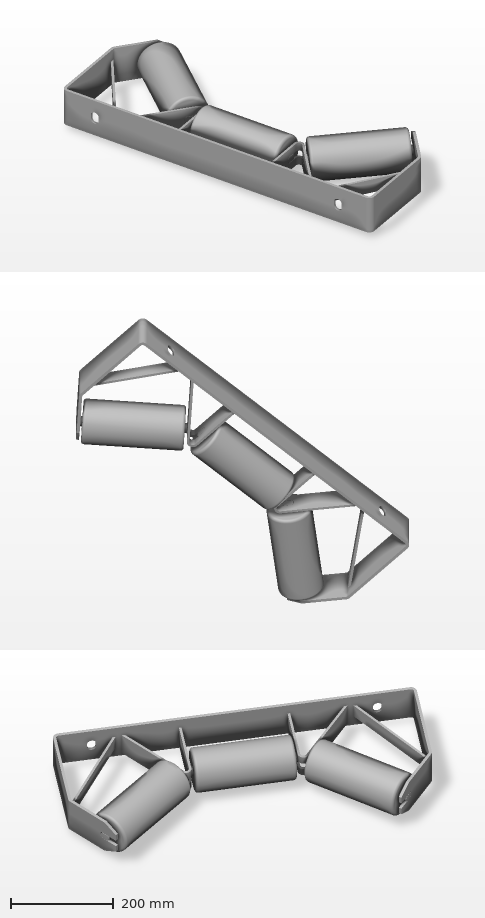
import cadquery as cq
import math


FRAME_LENGTH = 720.0
FRAME_HEIGHT = 80.0
FRAME_THICKNESS = 6.0
FRAME_BEND_RADIUS = 11.5
FRAME_END_REACH = 29.0
FRAME_END_CHAMFER_LENGTH = 29.0
FRAME_END_CHAMFER_HEIGHT = 16.5
MOUNT_SLOT_X = 283.0
MOUNT_SLOT_WIDTH = 18.0
MOUNT_SLOT_HEIGHT = 26.0

ROLLER_DIAMETER = 89.0
ROLLER_LENGTH = 200.0
ROLLER_EDGE_RADIUS = 6.0
SHAFT_DIAMETER = 20.0
SHAFT_FLATS = 13.0
SHAFT_GAP = 5.0
SHOULDER_CLEARANCE = 1.0

CENTER_ROLLER_Y = 99.0
CENTER_ROLLER_Z = -8.0
SIDE_ROLLER_X = 216.0
SIDE_ROLLER_Y = 178.5
SIDE_ROLLER_Z = -4.0
TROUGH_ANGLE = 40.0
FORWARD_TILT = 2.0

SLOT_HEIGHT = 15.0
SLOT_END_RADIUS = 11.0
SLOT_REACH = 86.5

BRACKET_HEIGHT = 50.5
BRACKET_THICKNESS = 5.0
BRACKET_BEND_RADIUS = 11.5

BRACE_HEIGHT = 30.0
BRACE_THICKNESS = 5.0
BRACE_ANGLE = 55.0
BRACE_FOOT_X = 235.5

FRAME_END_X = FRAME_LENGTH / 2
WALL_X = FRAME_END_X - FRAME_THICKNESS
FLOOR_Y = FRAME_THICKNESS
TROUGH_COS = math.cos(math.radians(TROUGH_ANGLE))
TROUGH_SIN = math.sin(math.radians(TROUGH_ANGLE))
SUPPORT_DISTANCE = ROLLER_LENGTH / 2 + SHAFT_GAP
BRACKET_FACE_X = SUPPORT_DISTANCE


def side_point(along, across):
    """Plan point measured from the middle of the +X side roller: along its axis
    (outward) and across it (toward the open ends of the slots)."""
    return (
        SIDE_ROLLER_X + along * TROUGH_COS - across * TROUGH_SIN,
        SIDE_ROLLER_Y + along * TROUGH_SIN + across * TROUGH_COS,
    )


def side_point_at_x(along, x):
    """Point with the given X on a plane square to the side roller axis."""
    return side_point(along, (SIDE_ROLLER_X + along * TROUGH_COS - x) / TROUGH_SIN)


def side_point_at_y(along, y):
    """Point with the given Y on a plane square to the side roller axis."""
    return side_point(along, (y - SIDE_ROLLER_Y - along * TROUGH_SIN) / TROUGH_COS)


def upright_plate(outline, height, middle_z):
    """Extrude a plan outline so that it is centred on middle_z."""
    return (
        cq.Workplane("XY", origin=(0, 0, middle_z - height / 2))
        .polyline(outline).close().extrude(height)
    )


def round_bend(plate, corner, radius):
    """Round the upright edge at a plan corner."""
    edge = cq.selectors.NearestToPointSelector((corner[0], corner[1], plate.val().Center().z))
    return plate.edges("|Z").edges(edge).fillet(radius)


def mirrored(point):
    return (-point[0], point[1])


def both_sides(body):
    """The +X body and its mirror image."""
    return [body, body.mirror("YZ")]


def on_side_roller(tool, along, middle_z):
    """Move a tool from the origin, with X as axis, onto the +X side roller axis."""
    x, y = side_point(along, 0)
    return tool.rotate((0, 0, 0), (0, 0, 1), TROUGH_ANGLE).translate((x, y, middle_z))


def shaft_slot(depth):
    """Cutter for a slot open toward +Y, with its rounded end about the X axis."""
    rounded_end = cq.Workplane("YZ").circle(SLOT_END_RADIUS).extrude(depth)
    run = cq.Workplane("XY").box(depth, SLOT_REACH, SLOT_HEIGHT, centered=(False, False, True))
    limits = cq.Workplane("XY").box(
        depth, 2 * SLOT_END_RADIUS, SLOT_HEIGHT, centered=(False, True, True)
    )
    return run.union(rounded_end.intersect(limits))


def make_frame():
    """Bar bent into a back, two end walls and two sloping arms."""
    arm_inside = SUPPORT_DISTANCE
    arm_outside = SUPPORT_DISTANCE + FRAME_THICKNESS
    outer_corner = (FRAME_END_X, 0)
    outer_bend = side_point_at_x(arm_outside, FRAME_END_X)
    inner_corner = (WALL_X, FLOOR_Y)
    inner_bend = side_point_at_x(arm_inside, WALL_X)
    half = [
        outer_corner,
        outer_bend,
        side_point(arm_outside, FRAME_END_REACH),
        side_point(arm_inside, FRAME_END_REACH),
        inner_bend,
        inner_corner,
    ]
    frame = upright_plate(half + [mirrored(p) for p in reversed(half)], FRAME_HEIGHT, 0)

    inner_radius = FRAME_BEND_RADIUS - FRAME_THICKNESS
    bends = [
        (outer_corner, FRAME_BEND_RADIUS),
        (outer_bend, FRAME_BEND_RADIUS),
        (inner_corner, inner_radius),
        (inner_bend, inner_radius),
    ]
    for corner, radius in bends:
        frame = round_bend(frame, corner, radius)
        frame = round_bend(frame, mirrored(corner), radius)

    end_y = FRAME_END_REACH
    end_z = FRAME_HEIGHT / 2
    for side in (1, -1):
        wedge = (
            cq.Workplane("YZ")
            .polyline([
                (end_y, side * end_z),
                (end_y - FRAME_END_CHAMFER_LENGTH, side * end_z),
                (end_y, side * (end_z - FRAME_END_CHAMFER_HEIGHT)),
            ])
            .close().extrude(FRAME_THICKNESS)
        )
        for cutter in both_sides(on_side_roller(wedge, arm_inside, 0)):
            frame = frame.cut(cutter)

    for cutter in both_sides(on_side_roller(shaft_slot(FRAME_THICKNESS), arm_inside, 0)):
        frame = frame.cut(cutter)

    mount_slots = (
        cq.Workplane("XZ")
        .pushPoints([(MOUNT_SLOT_X, 0), (-MOUNT_SLOT_X, 0)])
        .slot2D(MOUNT_SLOT_HEIGHT, MOUNT_SLOT_WIDTH, 90)
        .extrude(-FRAME_THICKNESS)
    )
    return frame.cut(mount_slots)


def make_bracket():
    """Inner bracket on the +X side: an upright leg for the center roller, bent over
    into a sloping leg for the side roller."""
    slope_face = -SUPPORT_DISTANCE
    slope_back = slope_face - BRACKET_THICKNESS
    back_x = BRACKET_FACE_X + BRACKET_THICKNESS
    outer_apex = side_point_at_x(slope_face, BRACKET_FACE_X)
    inner_apex = side_point_at_x(slope_back, back_x)
    bracket = upright_plate(
        [
            (BRACKET_FACE_X, FLOOR_Y),
            outer_apex,
            side_point_at_y(slope_face, FLOOR_Y),
            side_point_at_y(slope_back, FLOOR_Y),
            inner_apex,
            (back_x, FLOOR_Y),
        ],
        BRACKET_HEIGHT,
        CENTER_ROLLER_Z,
    )
    bracket = round_bend(bracket, outer_apex, BRACKET_BEND_RADIUS)
    bracket = round_bend(bracket, inner_apex, BRACKET_BEND_RADIUS - BRACKET_THICKNESS)

    bend_x = BRACKET_FACE_X + BRACKET_BEND_RADIUS
    bend_y = side_point_at_x(slope_face - BRACKET_BEND_RADIUS, bend_x)[1]
    upright_slot = shaft_slot(BRACKET_THICKNESS).translate(
        (BRACKET_FACE_X, CENTER_ROLLER_Y, CENTER_ROLLER_Z)
    )
    slope_slot = on_side_roller(shaft_slot(BRACKET_THICKNESS), slope_back, CENTER_ROLLER_Z)
    bend_width = 2 * BRACKET_BEND_RADIUS
    bend_opening = (
        cq.Workplane("XY")
        .box(bend_width, bend_width, SLOT_HEIGHT, centered=(True, False, True))
        .translate((bend_x, bend_y, CENTER_ROLLER_Z))
    )
    return bracket.cut(upright_slot).cut(slope_slot).cut(bend_opening)


def make_brace():
    """Brace on the +X side, from the back of the frame to its end wall."""
    angle = math.radians(BRACE_ANGLE)
    top_y = FLOOR_Y + (WALL_X - BRACE_FOOT_X) * math.tan(angle)
    return upright_plate(
        [
            (BRACE_FOOT_X, FLOOR_Y),
            (WALL_X, top_y),
            (WALL_X, top_y - BRACE_THICKNESS / math.cos(angle)),
            (BRACE_FOOT_X + BRACE_THICKNESS / math.sin(angle), FLOOR_Y),
        ],
        BRACE_HEIGHT,
        0,
    )


def make_roller(inner_plate, outer_plate):
    """Roller about the X axis, centred on the origin. Its flatted shaft ends pass
    through plates of the given thicknesses at the -X and +X ends."""
    roller = (
        cq.Workplane("YZ", origin=(-ROLLER_LENGTH / 2, 0, 0))
        .circle(ROLLER_DIAMETER / 2).extrude(ROLLER_LENGTH)
        .edges().fillet(ROLLER_EDGE_RADIUS)
    )
    for direction, plate in ((-1, inner_plate), (1, outer_plate)):
        shaft_end = SUPPORT_DISTANCE + plate
        shaft = cq.Workplane("YZ").circle(SHAFT_DIAMETER / 2).extrude(direction * shaft_end)
        flats_length = plate + SHOULDER_CLEARANCE
        flats_middle = direction * (shaft_end - flats_length / 2)
        end_block = cq.Workplane("XY").box(flats_length, SHAFT_DIAMETER, SHAFT_DIAMETER)
        flats_core = cq.Workplane("XY").box(flats_length, SHAFT_DIAMETER, SHAFT_FLATS)
        shaft = shaft.cut(end_block.cut(flats_core).translate((flats_middle, 0, 0)))
        roller = roller.union(shaft)
    return roller


def make_center_roller():
    """Middle roller, carried by the upright legs of the two brackets."""
    roller = make_roller(BRACKET_THICKNESS, BRACKET_THICKNESS)
    return roller.translate((0, CENTER_ROLLER_Y, CENTER_ROLLER_Z))


def make_side_roller():
    """Side roller on the +X side, raised toward its outer end."""
    roller = make_roller(BRACKET_THICKNESS, FRAME_THICKNESS)
    tilted = roller.rotate((0, 0, 0), (0, 1, 0), -FORWARD_TILT)
    return on_side_roller(tilted, 0, SIDE_ROLLER_Z)


frame = make_frame()
brackets = both_sides(make_bracket())
braces = both_sides(make_brace())
center_roller = make_center_roller()
side_rollers = both_sides(make_side_roller())

bodies = [frame, center_roller] + brackets + braces + side_rollers
result = cq.Compound.makeCompound([body.val() for body in bodies])